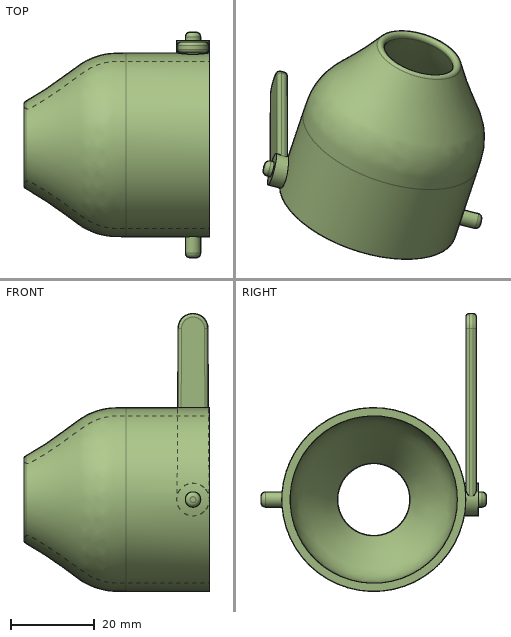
import cadquery as cq
import math

barrel_radius = 22.0
barrel_length = 20.0
nose_length = 24.47
wall = 2.0
shoulder_x = -5.8
shoulder_radius = 21.55
shoulder_angle = 14.0
flank_x = -11.2
flank_radius = 19.1
flank_angle = 36.0
lip_angle = 29.0
throat_radius = 8.6

pivot_x = 16.0
pin_radius = 1.85
pin_reach = 27.0
pin_rounding = 1.15
embed_depth = 1.5
boss_radius = 3.9
boss_reach = 25.0
lever_thickness = 2.6
lever_rounding = 0.85
lever_top = 44.49
lever_tip_radius = 3.6
lever_foot_half_width = 3.8

lip_radius = wall / 2
lip_x = lip_radius - nose_length
lip_center_radius = throat_radius + lip_radius
embed_radius = barrel_radius - embed_depth


def offset_point(x, radius, angle, distance):
    """Move a point along the wall normal, outward for a positive distance."""
    slope = math.radians(angle)
    return (x - distance * math.sin(slope), radius + distance * math.cos(slope))


def direction(angle):
    """Unit tangent pointing from the lip towards the barrel."""
    slope = math.radians(angle)
    return (math.cos(slope), math.sin(slope))


def make_shell():
    """Barrel and bell-shaped nose of constant wall, with a fully rounded lip."""
    inner_radius = barrel_radius - wall
    lip_outer = offset_point(lip_x, lip_center_radius, lip_angle, lip_radius)
    lip_inner = offset_point(lip_x, lip_center_radius, lip_angle, -lip_radius)
    lip_slope = math.radians(lip_angle)
    lip_front = (
        lip_x - lip_radius * math.cos(lip_slope),
        lip_center_radius - lip_radius * math.sin(lip_slope),
    )
    flank_outer = (flank_x, flank_radius)
    flank_inner = offset_point(flank_x, flank_radius, flank_angle, -wall)
    shoulder_outer = (shoulder_x, shoulder_radius)
    shoulder_inner = offset_point(shoulder_x, shoulder_radius, shoulder_angle, -wall)
    outer_directions = [direction(angle) for angle in (lip_angle, flank_angle, shoulder_angle, 0)]
    inner_directions = [(-dx, -dr) for dx, dr in reversed(outer_directions)]

    profile = (
        cq.Workplane("XY")
        .moveTo(*lip_outer)
        .spline(
            [flank_outer, shoulder_outer, (0, barrel_radius)],
            tangents=outer_directions,
            includeCurrent=True,
        )
        .lineTo(barrel_length, barrel_radius)
        .lineTo(barrel_length, inner_radius)
        .lineTo(0, inner_radius)
        .spline(
            [shoulder_inner, flank_inner, lip_inner],
            tangents=inner_directions,
            includeCurrent=True,
        )
        .threePointArc(lip_front, lip_outer)
        .close()
    )
    return profile.revolve(360, (0, 0, 0), (1, 0, 0))


def make_stud(radius, reach, side):
    """Cylinder along Y at the pivot, from inside the wall out to the given reach."""
    return (
        cq.Workplane("XZ", origin=(pivot_x, side * embed_radius, 0))
        .circle(radius)
        .extrude(-side * (reach - embed_radius))
    )


def make_pin(side):
    """Pivot pin with a rounded end."""
    end_face = ">Y" if side > 0 else "<Y"
    return make_stud(pin_radius, pin_reach, side).faces(end_face).edges().fillet(pin_rounding)


def make_lever():
    """Upright lever, slightly tapered, with a round tip and rounded edges."""
    tip_z = lever_top - lever_tip_radius
    blade = (
        cq.Workplane("XZ", origin=(pivot_x, barrel_radius, 0))
        .moveTo(-lever_foot_half_width, 0)
        .lineTo(-lever_tip_radius, tip_z)
        .threePointArc((0, lever_top), (lever_tip_radius, tip_z))
        .lineTo(lever_foot_half_width, 0)
        .close()
        .extrude(-lever_thickness)
    )
    return blade.faces("<Y or >Y").edges("not(<Z)").fillet(lever_rounding)


result = make_shell()
for pin_side in (-1, 1):
    result = result.union(make_pin(pin_side))
result = result.union(make_stud(boss_radius, boss_reach, 1))
result = result.union(make_lever())